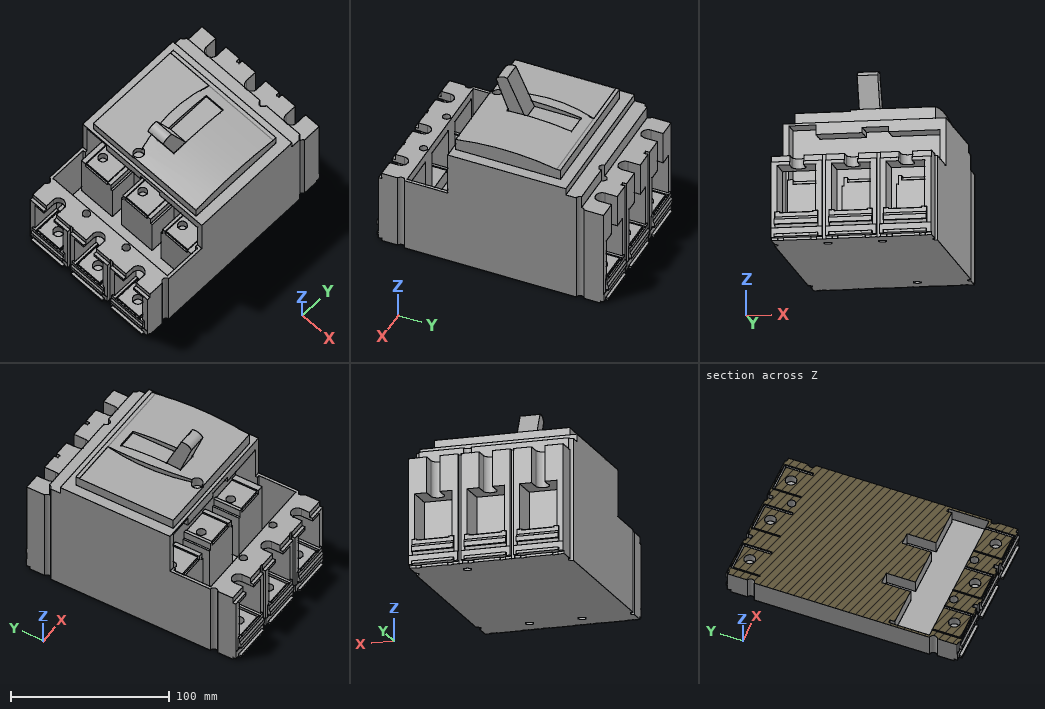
import cadquery as cq


POLE_PITCH = 35.0
POLE_XS = [-POLE_PITCH, 0, POLE_PITCH]

BODY_WIDTH = 104.8
END_WIDTH = 103.2
BODY_TOP = 85.6
BODY_FRONT_Y = -29.7
BODY_REAR_Y = 52.5
SHOULDER_TOP = 80.6
REAR_TOP = 71.9
FRONT_TOP = 54.7
END_Y = 78.4
STEP_INSET = 2.3
FRONT_STEP_Z = 50.5
FOOT_STEP_Z = 1.6
SKIRT_TOP = 7.7
SKIRT_Y = 78.5

FIXING_Y = 62.4
FIXING_RADIUS = 2.5
NOTCH_WIDTH = 2.3
NOTCH_DEPTH = 2.7

PLATE_WIDTH = 19.3
PLATE_OFFSET = -0.5
PLATE_SETBACK = 1.1
FRONT_PLATE_SETBACK = 0.3

CHAMBER_HALF_WIDTH = 12.4
CHAMBER_FLOOR = 17.9
CHAMBER_TOP = 48.2
CHAMBER_INNER_Y = 58.9
ACCESS_SLOT_WIDTH = 8.9
ACCESS_Y = 69.8
CHANNEL_WIDTH = 21.3
CHANNEL_FLOOR = 16.0
LIP_Z = 17.3
CONTACT_TOP = 17.5
SCREW_RADIUS = 3.5
SCREW_DEPTH = 6.5
STRIP_WIDTH = 27.7
STRIP_FACE_Y = 79.5
STRIP_RIB_Y = 80.6
STRIP_RIB_Z = (9.8, 12.9)
STRIP_SLOPE_TOP = 14.5
STRIP_ROOT_Y = 79.0
FOOT_STRIP_TOP = 3.4
FOOT_SLOT_WIDTH = 3.5
FOOT_SLOT_DEPTH = 0.8

POCKET_HALF_WIDTH = 50.3
POCKET_FLOOR = 7.7
POCKET_REAR_Y = -31.3
CAVITY_HALF_WIDTH = 48.5
CAVITY_REAR_Y = -14.8
CAVITY_CEILING = 78.0
LEFT_RECESS_TOP = 84.2
LEFT_RECESS_X = -31.3
MIDDLE_RECESS_TOP = 81.5
MIDDLE_RECESS_X = (-1.5, 15.3)

BLOCK_HALF_WIDTH = CAVITY_HALF_WIDTH - POLE_PITCH
BLOCK_FRONT_Y = -34.7
BLOCK_TOP = CHAMBER_TOP
BLOCK_LEDGE_Z = 42.7
BLOCK_LEDGE_WIDTH = 1.3
PLATE_TOP = 47.1
PLATE_BOTTOM = 45.3
BLOCK_HOLE_RADIUS = 3.0
BLOCK_HOLE_DEPTH = 6.5
BLOCK_HOLE_OFFSET = -5.6
BLOCK_HOLE_Y = -23.4

COVER_HALF_WIDTH = 45.1
COVER_FRONT_Y = -27.4
COVER_REAR_Y = 45.5
PANEL_TOP = 92.7
RIM_TOP = 92.9
CROWN_REAR_Y = 42.9
CROWN_FRONT_Z = 93.7
CROWN_PEAK = (5.3, 96.6)
CROWN_EDGE = [(-11.3, CROWN_REAR_Y), (-14.2, 14.4), (-9.8, -18.9)]
BUTTON_CENTER = (-9.5, -22.9)
BUTTON_RADIUS = 3.7
BUTTON_DEPTH = 4.8

HANDLE_LEFT_X = -7.1
HANDLE_WIDTH = 13.4
HANDLE_SLOT_WIDTH = 14.8
HANDLE_SLOT_Y = (-8.9, 36.1)
HANDLE_ROOT_Y = (-7.4, 3.5)
HANDLE_TIP_REAR = (-9.4, 121.0)
HANDLE_TIP_MIDDLE = (-12.5, 121.1)
HANDLE_TIP_FRONT = (-17.1, 117.9)


def box(x, y, z):
    """Box between the (low, high) limits on each axis."""
    return cq.Workplane("XY").box(
        x[1] - x[0], y[1] - y[0], z[1] - z[0], centered=False
    ).translate((x[0], y[0], z[0]))


def span(center, width):
    """Limits of a width centred on a position."""
    return (center - width / 2, center + width / 2)


def upright(x, y, radius, z):
    """Vertical cylinder between the (low, high) limits z."""
    return cq.Workplane("XY").center(x, y).circle(radius).extrude(z[1] - z[0]).translate((0, 0, z[0]))


def side_profile(points, x):
    """Closed (y, z) outline extruded between the (low, high) limits x."""
    return cq.Workplane("YZ").polyline(points).close().extrude(x[1] - x[0]).translate((x[0], 0, 0))


def make_body():
    """Stepped housing with narrower ends, fixing holes, side grooves and notches between the poles."""
    outline = [
        (-END_Y + STEP_INSET, 0),
        (-END_Y + STEP_INSET, FOOT_STEP_Z),
        (-SKIRT_Y, FOOT_STEP_Z),
        (-SKIRT_Y, SKIRT_TOP),
        (-END_Y, SKIRT_TOP),
        (-END_Y, FRONT_STEP_Z),
        (-END_Y + STEP_INSET, FRONT_STEP_Z),
        (-END_Y + STEP_INSET, FRONT_TOP),
        (BODY_FRONT_Y, FRONT_TOP),
        (BODY_FRONT_Y, BODY_TOP),
        (BODY_REAR_Y, BODY_TOP),
        (BODY_REAR_Y, SHOULDER_TOP),
        (FIXING_Y, SHOULDER_TOP),
        (FIXING_Y, REAR_TOP),
        (END_Y, REAR_TOP),
        (END_Y, SKIRT_TOP),
        (SKIRT_Y, SKIRT_TOP),
        (SKIRT_Y, FOOT_STEP_Z),
        (END_Y - STEP_INSET, FOOT_STEP_Z),
        (END_Y - STEP_INSET, 0),
    ]
    full_height = (0, BODY_TOP)
    ends = side_profile(outline, span(0, END_WIDTH))
    middle = side_profile(outline, span(0, BODY_WIDTH)).intersect(
        box(span(0, BODY_WIDTH), (-FIXING_Y, FIXING_Y), full_height)
    )
    body = ends.union(middle)

    groove_x = 1.5 * POLE_PITCH
    gap_x = 0.5 * POLE_PITCH
    fixings = [(x, y) for x in (-groove_x, groove_x) for y in (-FIXING_Y, FIXING_Y)]
    fixings += [(-gap_x, -FIXING_Y), (gap_x, -FIXING_Y), (gap_x, FIXING_Y)]
    for x, y in fixings:
        body = body.cut(upright(x, y, FIXING_RADIUS, full_height))

    for x in (-gap_x, gap_x):
        body = body.cut(box(span(x, NOTCH_WIDTH), (-STRIP_RIB_Y, -END_Y + NOTCH_DEPTH), full_height))
        body = body.cut(box(span(x, NOTCH_WIDTH), (END_Y - NOTCH_DEPTH, STRIP_RIB_Y), full_height))
    return body


def front_cavity():
    """Open pocket and the cavity behind it, whose ceiling steps up at the left and in the middle."""
    depth = (BODY_FRONT_Y, CAVITY_REAR_Y)
    cavity = box((-CAVITY_HALF_WIDTH, CAVITY_HALF_WIDTH), depth, (POCKET_FLOOR, CAVITY_CEILING))
    cavity = cavity.union(box((-CAVITY_HALF_WIDTH, LEFT_RECESS_X), depth, (POCKET_FLOOR, LEFT_RECESS_TOP)))
    cavity = cavity.union(box(MIDDLE_RECESS_X, depth, (POCKET_FLOOR, MIDDLE_RECESS_TOP)))
    throat = box(
        (-CAVITY_HALF_WIDTH, CAVITY_HALF_WIDTH), (POCKET_REAR_Y, BODY_FRONT_Y), (POCKET_FLOOR, FRONT_TOP)
    )
    pocket = box(
        (-POCKET_HALF_WIDTH, POCKET_HALF_WIDTH), (-CHAMBER_INNER_Y, POCKET_REAR_Y), (POCKET_FLOOR, FRONT_TOP)
    )
    return cavity.union(throat).union(pocket)


def connector_block(pole_x):
    """Block with ledges on the sides that face another pole and a plate let into its top."""
    depth = (BLOCK_FRONT_Y, CAVITY_REAR_Y)
    left, right = span(pole_x, 2 * BLOCK_HALF_WIDTH)
    block = box((left, right), depth, (POCKET_FLOOR, BLOCK_TOP))
    above_ledge = (BLOCK_LEDGE_Z, BLOCK_TOP)
    if pole_x > POLE_XS[0]:
        block = block.cut(box((left, left + BLOCK_LEDGE_WIDTH), depth, above_ledge))
    if pole_x < POLE_XS[-1]:
        block = block.cut(box((right - BLOCK_LEDGE_WIDTH, right), depth, above_ledge))
    plate_x = span(pole_x + PLATE_OFFSET, PLATE_WIDTH)
    plate_front_y = BLOCK_FRONT_Y + PLATE_SETBACK
    block = block.cut(box(plate_x, depth, (PLATE_TOP, BLOCK_TOP)))
    block = block.cut(box(plate_x, (BLOCK_FRONT_Y, plate_front_y), (PLATE_BOTTOM, BLOCK_TOP)))
    hole_z = (PLATE_TOP - BLOCK_HOLE_DEPTH, PLATE_TOP)
    return block.cut(upright(pole_x + BLOCK_HOLE_OFFSET, BLOCK_HOLE_Y, BLOCK_HOLE_RADIUS, hole_z))


def terminal_strips(pole_x):
    """Wedge-edged strip and thin foot strip on the front end face."""
    back_y = -END_Y + STEP_INSET
    wedge = [
        (back_y, CHAMBER_FLOOR),
        (-STRIP_FACE_Y, CHAMBER_FLOOR),
        (-STRIP_FACE_Y, STRIP_SLOPE_TOP),
        (-STRIP_RIB_Y, STRIP_RIB_Z[1]),
        (-STRIP_RIB_Y, STRIP_RIB_Z[0]),
        (-STRIP_ROOT_Y, STRIP_RIB_Z[0]),
        (-END_Y, SKIRT_TOP),
        (back_y, SKIRT_TOP),
    ]
    strip_x = span(pole_x, STRIP_WIDTH)
    foot = box(strip_x, (-STRIP_RIB_Y, back_y), (FOOT_STEP_Z, FOOT_STRIP_TOP))
    return side_profile(wedge, strip_x).union(foot)


def terminal_chamber(pole_x, roof_z, plate_setback):
    """Space of one front chamber: window, access slot, plate channel, screw hole and foot slots."""
    outside_y = -STRIP_RIB_Y
    chamber = box(
        span(pole_x, 2 * CHAMBER_HALF_WIDTH), (outside_y, -CHAMBER_INNER_Y), (CHAMBER_FLOOR, CHAMBER_TOP)
    )
    slot_z = (CHAMBER_TOP, roof_z)
    chamber = chamber.union(box(span(pole_x, ACCESS_SLOT_WIDTH), (outside_y, -ACCESS_Y), slot_z))
    chamber = chamber.union(upright(pole_x, -ACCESS_Y, ACCESS_SLOT_WIDTH / 2, slot_z))
    channel_x = span(pole_x, CHANNEL_WIDTH)
    channel_z = (CHANNEL_FLOOR, CHAMBER_FLOOR)
    chamber = chamber.union(box(channel_x, (-END_Y, -CHAMBER_INNER_Y), channel_z))
    chamber = chamber.union(box(channel_x, (outside_y, -END_Y), (LIP_Z, CHAMBER_FLOOR)))
    plate = box(
        span(pole_x + PLATE_OFFSET, PLATE_WIDTH),
        (-END_Y + plate_setback, -CHAMBER_INNER_Y),
        (CHANNEL_FLOOR, CONTACT_TOP),
    )
    chamber = chamber.cut(plate)
    screw_z = (CONTACT_TOP - SCREW_DEPTH, CONTACT_TOP)
    chamber = chamber.union(upright(pole_x, -ACCESS_Y, SCREW_RADIUS, screw_z))
    foot_face_y = -END_Y + STEP_INSET
    foot_slot_center = CHAMBER_HALF_WIDTH - FOOT_SLOT_WIDTH / 2
    for x in (pole_x - foot_slot_center, pole_x + foot_slot_center):
        foot_slot = box(
            span(x, FOOT_SLOT_WIDTH), (foot_face_y, foot_face_y + FOOT_SLOT_DEPTH), (0, FOOT_STEP_Z)
        )
        chamber = chamber.union(foot_slot)
    return chamber


def make_cover():
    """Flat cover plate with a rear rim, its crowned right part, and the sunken button."""
    cover = box(
        (-COVER_HALF_WIDTH, COVER_HALF_WIDTH), (COVER_FRONT_Y, COVER_REAR_Y), (BODY_TOP, PANEL_TOP)
    )
    rim = box((-COVER_HALF_WIDTH, COVER_HALF_WIDTH), (CROWN_REAR_Y, COVER_REAR_Y), (BODY_TOP, RIM_TOP))
    above_crown = HANDLE_TIP_REAR[1]
    crown_area = (
        cq.Workplane("XY")
        .workplane(offset=PANEL_TOP)
        .moveTo(*CROWN_EDGE[0])
        .threePointArc(CROWN_EDGE[1], CROWN_EDGE[2])
        .lineTo(BUTTON_CENTER[0], COVER_FRONT_Y)
        .lineTo(COVER_HALF_WIDTH, COVER_FRONT_Y)
        .lineTo(COVER_HALF_WIDTH, CROWN_REAR_Y)
        .close()
        .extrude(above_crown - PANEL_TOP)
    )
    crown_profile = (
        cq.Workplane("YZ")
        .moveTo(CROWN_REAR_Y, PANEL_TOP)
        .lineTo(CROWN_REAR_Y, RIM_TOP)
        .threePointArc(CROWN_PEAK, (COVER_FRONT_Y, CROWN_FRONT_Z))
        .lineTo(COVER_FRONT_Y, PANEL_TOP)
        .close()
        .extrude(COVER_HALF_WIDTH, both=True)
    )
    cover = cover.union(rim).union(crown_area.intersect(crown_profile))
    handle_slot_x = (HANDLE_LEFT_X, HANDLE_LEFT_X + HANDLE_SLOT_WIDTH)
    cover = cover.cut(box(handle_slot_x, HANDLE_SLOT_Y, (PANEL_TOP, above_crown)))
    button_z = (PANEL_TOP - BUTTON_DEPTH, above_crown)
    return cover.cut(upright(*BUTTON_CENTER, BUTTON_RADIUS, button_z))


def make_handle():
    """Leaning, slightly tapered lever with a rounded tip."""
    return (
        cq.Workplane("YZ")
        .moveTo(HANDLE_ROOT_Y[0], PANEL_TOP)
        .lineTo(HANDLE_ROOT_Y[1], PANEL_TOP)
        .lineTo(*HANDLE_TIP_REAR)
        .threePointArc(HANDLE_TIP_MIDDLE, HANDLE_TIP_FRONT)
        .close()
        .extrude(HANDLE_WIDTH)
        .translate((HANDLE_LEFT_X, 0, 0))
    )


result = make_body().cut(front_cavity())
for pole in POLE_XS:
    strips = terminal_strips(pole)
    result = result.union(strips).union(strips.mirror("XZ"))
    result = result.cut(terminal_chamber(pole, FRONT_TOP, FRONT_PLATE_SETBACK))
    result = result.cut(terminal_chamber(pole, REAR_TOP, PLATE_SETBACK).mirror("XZ"))
    result = result.union(connector_block(pole))
result = result.union(make_cover()).union(make_handle())